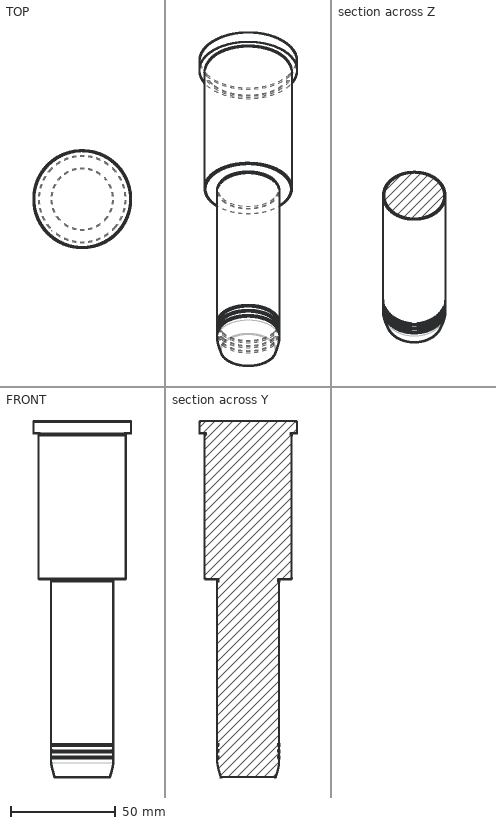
import cadquery as cq

total_length = 171.0
head_height = 6.0
shank_length = 70.0
nose_length = 7.0

head_radius = 47.0 / 2
shank_radius = 42.0 / 2
pin_radius = 30.0 / 2
tip_radius = 26.5 / 2

head_chamfer = 0.5
shank_chamfer = 0.5
tip_fillet = 0.5

relief_width = 1.0
relief_depth = 0.5

oil_groove_count = 3
oil_groove_width = 1.0
oil_groove_depth = 0.5
oil_groove_pitch = 3.0
first_oil_groove_bottom = nose_length + 2.0

nose_bulge = 0.2

head_bottom = total_length - head_height
shank_bottom = head_bottom - shank_length


def cylinder(radius, bottom, top):
    """Solid cylinder about Z between two heights."""
    return cq.Workplane("XY").workplane(offset=bottom).circle(radius).extrude(top - bottom)


def square_groove(surface_radius, depth, bottom, width):
    """Cutter for a rectangular groove running around a cylinder."""
    outer = cylinder(surface_radius + depth, bottom, bottom + width)
    return outer.cut(cylinder(surface_radius - depth, bottom, bottom + width))


def chamfered_groove(surface_radius, depth, bottom, width):
    """Cutter for a groove with a square upper wall and a 45 degree lower wall."""
    floor_radius = surface_radius - depth
    return (
        cq.Workplane("XZ")
        .moveTo(surface_radius, bottom)
        .lineTo(floor_radius, bottom + depth)
        .lineTo(floor_radius, bottom + width)
        .lineTo(surface_radius, bottom + width)
        .close()
        .revolve(360, (0, 0), (0, 1))
    )


def make_head():
    head = cylinder(head_radius, head_bottom, total_length)
    return head.faces(">Z").edges().chamfer(head_chamfer)


def make_shank():
    shank = cylinder(shank_radius, shank_bottom, head_bottom)
    shank = shank.faces("<Z").edges().chamfer(shank_chamfer)
    return shank.cut(chamfered_groove(shank_radius, relief_depth, head_bottom - relief_width, relief_width))


def make_nose():
    """Nose with a slightly convex flank that narrows to the tip."""
    mid_radius = (pin_radius + tip_radius) / 2 + nose_bulge
    nose = (
        cq.Workplane("XZ")
        .lineTo(tip_radius, 0)
        .threePointArc((mid_radius, nose_length / 2), (pin_radius, nose_length))
        .lineTo(0, nose_length)
        .close()
        .revolve(360, (0, 0), (0, 1))
    )
    return nose.faces("<Z").edges().fillet(tip_fillet)


def make_pin():
    pin = cylinder(pin_radius, nose_length, shank_bottom)
    pin = pin.cut(square_groove(pin_radius, relief_depth, shank_bottom - relief_width, relief_width))
    for index in range(oil_groove_count):
        bottom = first_oil_groove_bottom + index * oil_groove_pitch
        pin = pin.cut(chamfered_groove(pin_radius, oil_groove_depth, bottom, oil_groove_width))
    return pin


result = make_head().union(make_shank()).union(make_pin()).union(make_nose())